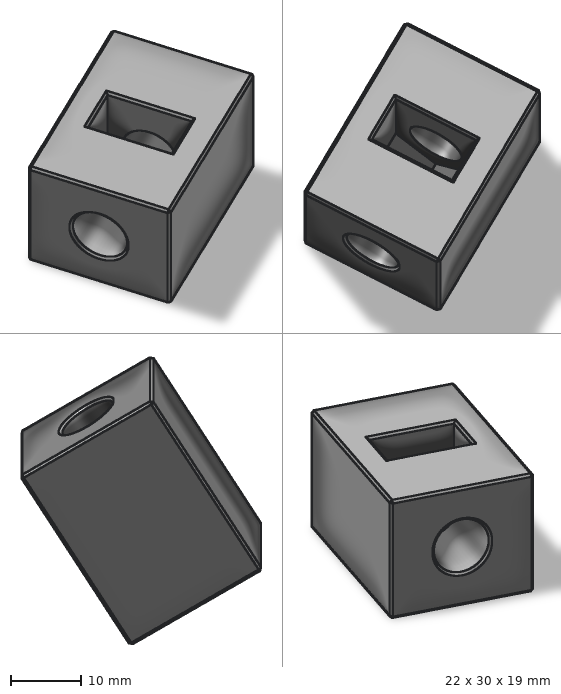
import cadquery as cq
import math

width = 22.0
length = 30.0
height = 19.0
edge_chamfer = 0.4
bore_diameter = 8.4

slot_width = 13.0
slot_thickness = 7.0
slot_center_y = -0.5

half_slot = slot_width / 2
hex_corner_radius = slot_width / math.sqrt(3)
flank_bottom_z = -hex_corner_radius / 2
top_z = height / 2


def chamfered_block():
    return cq.Workplane("XY").box(width, length, height).edges().chamfer(edge_chamfer)


def bore():
    cylinder = cq.Workplane("XZ").circle(bore_diameter / 2).extrude(length / 2, both=True)
    mouth_radius = bore_diameter / 2 + edge_chamfer
    for side in (-1, 1):
        mouth = cq.Solid.makeCone(
            mouth_radius,
            bore_diameter / 2,
            edge_chamfer,
            pnt=cq.Vector(0, side * length / 2, 0),
            dir=cq.Vector(0, -side, 0),
        )
        cylinder = cylinder.union(cq.Workplane(mouth))
    return cylinder


def nut_slot():
    outline = [
        (-half_slot, top_z),
        (-half_slot, flank_bottom_z),
        (0, -hex_corner_radius),
        (half_slot, flank_bottom_z),
        (half_slot, top_z),
    ]
    slot = (
        cq.Workplane("XZ", origin=(0, slot_center_y, 0))
        .polyline(outline)
        .close()
        .extrude(slot_thickness / 2, both=True)
    )
    mouth = (
        cq.Workplane("XY", origin=(0, slot_center_y, top_z))
        .rect(slot_width + 2 * edge_chamfer, slot_thickness + 2 * edge_chamfer)
        .extrude(-edge_chamfer, taper=45)
    )
    return slot.union(mouth)


result = chamfered_block().cut(bore()).cut(nut_slot())